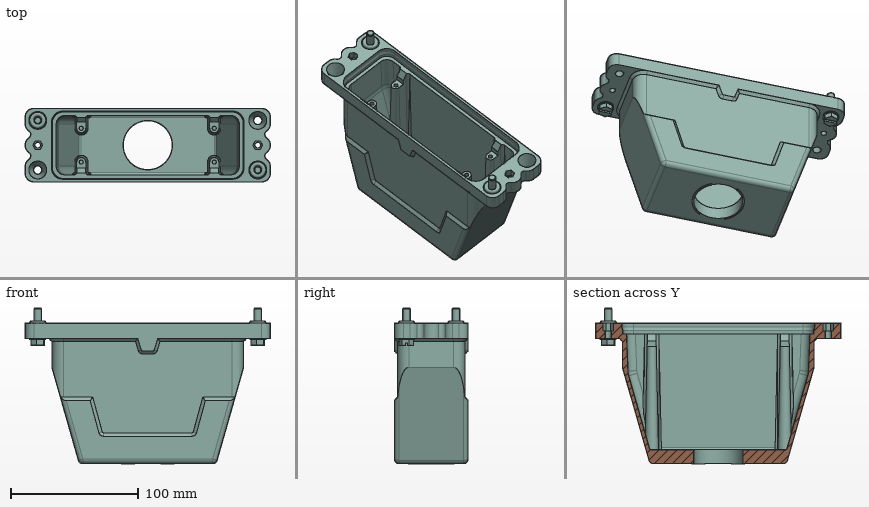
import cadquery as cq
import math


flange_length = 193.0
flange_width = 58.0
flange_thickness = 12.2
corner_radius = 7.0
lobe_radius = 7.0
notch_radius = 3.3
outer_lobe_y = 16.9
flange_half_length = flange_length / 2
flange_half_width = flange_width / 2

screw_x = 86.5
screw_y = 19.5
countersink_radius = 7.0
clearance_radius = 3.2
screw_radius = 3.0
screw_tip_z = 11.8
screw_tip_chamfer = 0.6
collar_radius = 6.4
collar_height = 1.8
washer_radius = 6.3
washer_thickness = 0.8
head_across_flats = 10.0
head_turn = 21.0
head_height = 4.4
head_slot_width = 1.6
head_slot_depth = 2.0
nut_across_flats = 6.7
nut_depth = 6.0
nut_hole_diameter = 4.4

body_half_length = 75.4
body_half_width = 26.65
body_corner_radius = 9.0
shoulder_z = -34.7
bottom_z = -110.5
end_lean = math.tan(math.radians(15.9))
flare = 2.2

skirt_edge_fillet = 3.7
skirt_top_z = -58.2
skirt_dip_z = -86.2
skirt_top_x = 43.2
skirt_dip_x = 35.6
raised_height = flange_half_width - body_half_width
bevel_angle = 45.0
skirt_bevel_angle = 49.0
skirt_corner_radius = 1.2
tab_top_half = 10.3
tab_bottom_half = 6.6
tab_bottom_z = -24.2
tab_corner_radius = 3.6

seal_half_length = 75.7
seal_half_width = 26.8
seal_corner_radius = 9.0
seal_rim_depth = 3.2
seal_step = 0.75
seal_slope_depth = 2.6
ledge_z = -8.5
cavity_half_length = 72.0
cavity_half_width = 23.3
cavity_corner_radius = 6.8
cavity_shoulder_half = 70.8
cavity_shoulder_z = -39.5
cavity_fold_radius = 16.0
cavity_floor_z = -99.5
cavity_floor_fillet = 1.7
cable_hole_diameter = 38.5

arc_outer_radius = 20.6
arc_gap_half = 10.3
arc_height = 0.4

post_x = 52.3
post_y = 13.3
post_width = 6.7
post_draft = 1.25
post_root_radius = 2.3
post_hole_diameter = 3.2
post_hole_depth = 10.0
post_seat_z = ledge_z - 9.8
post_top_y = 21.9
post_ramp_y = 18.1
post_ramp_drop = 5.4

overlap = 1.0


def rounded_block(half_length, half_width, radius, top_z, low_z, taper=0.0):
    """Round-cornered block hanging from top_z, narrowing downward by the taper angle."""
    profile = cq.Sketch().rect(2 * half_length, 2 * half_width).vertices().fillet(radius)
    plane = cq.Workplane("XY", origin=(0, 0, top_z))
    return plane.placeSketch(profile).extrude(low_z - top_z, taper=taper)


def hopper_outline(top_half, top_z, shoulder_half, fold_z, low_z):
    """Corners, from +X top clockwise, of a section leaning inward below its shoulder."""
    low_half = shoulder_half - (fold_z - low_z) * end_lean
    right_side = [(top_half, top_z), (shoulder_half, fold_z), (low_half, low_z)]
    left_side = [(-x, z) for x, z in reversed(right_side)]
    return right_side + left_side


def extruded_along_y(outline, half_width):
    return cq.Workplane("XZ").polyline(outline).close().extrude(half_width, both=True)


def raised_pad(outline, radius, height, taper):
    """Rounded outline standing out from the -Y body side with bevelled edges."""
    profile = cq.Sketch().polygon(outline + outline[:1]).vertices().fillet(radius)
    plane = cq.Workplane("XZ", origin=(0, -body_half_width, 0))
    return plane.placeSketch(profile).extrude(height, taper=taper)


def make_flange():
    lobe_x = flange_half_length - lobe_radius
    notch_y = outer_lobe_y / 2
    swing = math.asin(notch_y / (lobe_radius + notch_radius))
    tangent_x = lobe_x + lobe_radius * math.cos(swing)
    tangent_y = lobe_radius * math.sin(swing)
    notch_x = lobe_x + (lobe_radius + notch_radius) * math.cos(swing) - notch_radius
    half_swing_x = lobe_x + lobe_radius * math.cos(swing / 2)
    half_swing_y = lobe_radius * math.sin(swing / 2)
    diagonal = corner_radius * (1 - math.sqrt(0.5))

    quarter = (
        cq.Workplane("XY")
        .lineTo(flange_half_length, 0)
        .threePointArc((half_swing_x, half_swing_y), (tangent_x, tangent_y))
        .threePointArc((notch_x, notch_y), (tangent_x, outer_lobe_y - tangent_y))
        .threePointArc(
            (half_swing_x, outer_lobe_y - half_swing_y), (flange_half_length, outer_lobe_y)
        )
        .lineTo(flange_half_length, flange_half_width - corner_radius)
        .threePointArc(
            (flange_half_length - diagonal, flange_half_width - diagonal),
            (flange_half_length - corner_radius, flange_half_width),
        )
        .lineTo(0, flange_half_width)
        .close()
        .extrude(-flange_thickness)
    )
    half = quarter.union(quarter.mirror("XZ"))
    return half.union(half.mirror("YZ")).clean()


def make_skirt_block():
    """Full-width lower block, cut back above a bevelled dipping outline on both long sides."""
    side = flange_half_length
    outline = [
        (-side, 0),
        (-side, skirt_top_z),
        (-skirt_top_x, skirt_top_z),
        (-skirt_dip_x, skirt_dip_z),
        (skirt_dip_x, skirt_dip_z),
        (skirt_top_x, skirt_top_z),
        (side, skirt_top_z),
        (side, 0),
    ]
    relief = raised_pad(
        outline, skirt_corner_radius, raised_height + overlap, -skirt_bevel_angle
    )
    block = (
        cq.Workplane("XY", origin=(0, 0, bottom_z))
        .rect(flange_length, flange_width)
        .extrude(skirt_top_z - bottom_z)
    )
    return block.cut(relief).cut(relief.mirror("XZ"))


def make_body():
    outline = hopper_outline(
        body_half_length, -flange_thickness, body_half_length, shoulder_z, bottom_z
    )
    shell = extruded_along_y(outline, flange_half_width)
    shell = shell.faces("<Z or >Y or <Y").edges("not(>Z or |Z)").fillet(skirt_edge_fillet)
    core = rounded_block(
        body_half_length, body_half_width, body_corner_radius, -flange_thickness, bottom_z
    )
    flare_block = rounded_block(
        body_half_length + flare,
        body_half_width + flare,
        body_corner_radius + flare,
        -flange_thickness,
        -flange_thickness - flare,
        bevel_angle,
    )
    return shell.intersect(core.union(make_skirt_block())).union(flare_block)


def make_tab():
    """Bevelled tabs below the middle of both long flange edges."""
    slope = (tab_top_half - tab_bottom_half) / (-flange_thickness - tab_bottom_z)
    hidden_z = -flange_thickness + 2 * raised_height
    hidden_half = tab_top_half + 2 * raised_height * slope
    outline = [
        (-hidden_half, hidden_z),
        (hidden_half, hidden_z),
        (tab_bottom_half, tab_bottom_z),
        (-tab_bottom_half, tab_bottom_z),
    ]
    tab = raised_pad(outline, tab_corner_radius, raised_height, bevel_angle)
    return tab.union(tab.mirror("XZ"))


def make_sealing_recess():
    """Rounded recess in the flange top that steps inward to a ledge around the cavity."""
    wide = rounded_block(seal_half_length, seal_half_width, seal_corner_radius, 0, -seal_rim_depth)
    narrow = rounded_block(
        seal_half_length - seal_step,
        seal_half_width - seal_step,
        seal_corner_radius - seal_step,
        0,
        ledge_z,
    )
    slope = rounded_block(
        seal_half_length,
        seal_half_width,
        seal_corner_radius,
        -seal_rim_depth,
        -seal_rim_depth - seal_slope_depth,
        math.degrees(math.atan(seal_step / seal_slope_depth)),
    )
    return wide.union(slope).union(narrow)


def make_cavity():
    outline = hopper_outline(
        cavity_half_length, ledge_z, cavity_shoulder_half, cavity_shoulder_z, cavity_floor_z
    )
    cavity = extruded_along_y(outline, cavity_half_width)
    folds = cq.selectors.BoxSelector(
        (-flange_length, -flange_width, cavity_shoulder_z - overlap),
        (flange_length, flange_width, cavity_shoulder_z + overlap),
    )
    cavity = cavity.edges("|Y").edges(folds).fillet(cavity_fold_radius)
    cavity = cavity.edges("<Y or >Y").edges("not(|X)").fillet(cavity_corner_radius)
    return cavity.faces("<Z").edges().fillet(cavity_floor_fillet)


def make_post():
    """Post on the +X, -Y side: round-nosed, sloping down from the ledge to a drilled seat."""
    half = post_width / 2
    root = post_root_radius
    root_swing = root * math.sqrt(0.5)
    root_y = root - cavity_half_width
    buried_y = -cavity_half_width - overlap
    column = (
        cq.Workplane("XY", origin=(post_x, 0, ledge_z))
        .moveTo(-half - root, buried_y)
        .lineTo(-half - root, -cavity_half_width)
        .threePointArc((-half - root + root_swing, root_y - root_swing), (-half, root_y))
        .lineTo(-half, -post_y)
        .threePointArc((0, half - post_y), (half, -post_y))
        .lineTo(half, root_y)
        .threePointArc(
            (half + root - root_swing, root_y - root_swing), (half + root, -cavity_half_width)
        )
        .lineTo(half + root, buried_y)
        .close()
        .extrude(cavity_floor_z - overlap - ledge_z, taper=-post_draft)
    )
    side_cut = [
        (-post_top_y, ledge_z + overlap),
        (-post_top_y, ledge_z),
        (-post_ramp_y, ledge_z - post_ramp_drop),
        (-post_ramp_y, post_seat_z),
        (0, post_seat_z),
        (0, ledge_z + overlap),
    ]
    top_cut = (
        cq.Workplane("YZ", origin=(post_x, 0, 0))
        .polyline(side_cut)
        .close()
        .extrude(post_width, both=True)
    )
    hole = (
        cq.Workplane("XY", origin=(post_x, -post_y, post_seat_z))
        .circle(post_hole_diameter / 2)
        .extrude(-post_hole_depth)
    )
    limits = hopper_outline(
        body_half_length - overlap, 0, body_half_length - overlap, shoulder_z, bottom_z
    )
    column = column.intersect(extruded_along_y(limits, body_half_width - overlap))
    return column.cut(top_cut).cut(hole)


def make_cable_arcs():
    """Two low arcs under the floor, left and right of the cable hole."""
    ring = (
        cq.Workplane("XY", origin=(0, 0, bottom_z - arc_height))
        .circle(arc_outer_radius)
        .circle(cable_hole_diameter / 2)
        .extrude(arc_height)
    )
    gap = (
        cq.Workplane("XY", origin=(0, 0, bottom_z - arc_height))
        .rect(2 * arc_gap_half, 2 * arc_outer_radius)
        .extrude(arc_height)
    )
    return ring.cut(gap)


def make_countersink(x, y):
    """Hole tapering evenly through the flange."""
    outline = [
        (0, 0),
        (countersink_radius, 0),
        (clearance_radius, -flange_thickness),
        (0, -flange_thickness),
    ]
    cone = cq.Workplane("XZ").polyline(outline).close().revolve(360, (0, 0, 0), (0, 1, 0))
    return cone.translate((x, y, 0))


def make_nut_seat(x):
    seat = (
        cq.Workplane("XY", origin=(x, 0, 0))
        .polygon(6, nut_across_flats / math.cos(math.pi / 6))
        .extrude(-nut_depth)
    )
    hole = (
        cq.Workplane("XY", origin=(x, 0, 0))
        .circle(nut_hole_diameter / 2)
        .extrude(-flange_thickness)
    )
    return seat.union(hole)


def make_screw(x, y):
    """Captive hex-head screw with its rounded collar and washer."""
    washer_z = -flange_thickness - washer_thickness
    head_z = washer_z - head_height
    crown_x = (screw_radius + collar_radius) / 2
    collar = (
        cq.Workplane("XZ")
        .moveTo(0, -flange_thickness)
        .lineTo(collar_radius, -flange_thickness)
        .lineTo(collar_radius, 0)
        .threePointArc((crown_x, collar_height), (screw_radius, 0))
        .lineTo(0, 0)
        .close()
        .revolve(360, (0, 0, 0), (0, 1, 0))
    )
    washer = cq.Workplane("XY", origin=(0, 0, washer_z)).circle(washer_radius)
    washer = washer.extrude(washer_thickness)
    shank = (
        cq.Workplane("XY")
        .circle(screw_radius)
        .extrude(screw_tip_z)
        .faces(">Z")
        .chamfer(screw_tip_chamfer)
    )
    head = (
        cq.Workplane("XY", origin=(0, 0, head_z))
        .transformed(rotate=(0, 0, head_turn))
        .polygon(6, head_across_flats / math.cos(math.pi / 6))
        .extrude(head_height)
    )
    slot = (
        cq.Workplane("XY", origin=(0, 0, head_z))
        .rect(3 * head_across_flats, head_slot_width)
        .extrude(head_slot_depth)
    )
    screw = collar.union(washer).union(shank).union(head.cut(slot))
    return screw.translate((x, y, 0))


result = make_flange().union(make_body()).union(make_tab())
result = result.cut(make_sealing_recess()).cut(make_cavity())

post = make_post()
for placed_post in (post, post.mirror("XZ"), post.mirror("YZ"), post.mirror("XZ").mirror("YZ")):
    result = result.union(placed_post)

result = result.union(make_cable_arcs())
cable_hole = cq.Workplane("XY", origin=(0, 0, bottom_z - arc_height)).circle(cable_hole_diameter / 2)
result = result.cut(cable_hole.extrude(cavity_floor_z - bottom_z + arc_height + overlap))

for side in (-1, 1):
    result = result.cut(make_nut_seat(side * screw_x))
    for end in (-1, 1):
        result = result.cut(make_countersink(side * screw_x, end * screw_y))
    result = result.union(make_screw(side * screw_x, -side * screw_y))